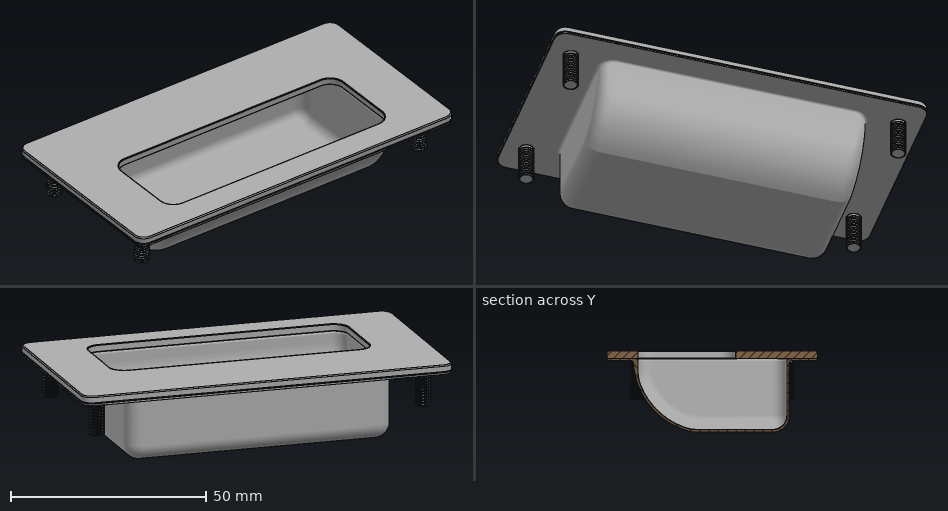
import cadquery as cq
import math

PLATE_WIDTH = 54
PLATE_LENGTH = 100
PLATE_THICKNESS = 2
PLATE_CORNER_RADIUS = 3
PLATE_EDGE_CHAMFER = 0.3

WINDOW_LEFT = -6
WINDOW_RIGHT = 19
WINDOW_LENGTH = 70
WINDOW_CORNER_RADIUS = 4
WINDOW_CHAMFER = 0.2

STUD_DIAMETER = 4
STUD_LENGTH = 10
STUD_X = 19
STUD_Y = 44
THREAD_PITCH = 0.8
THREAD_DEPTH = 0.3
THREAD_CREST_FLAT = THREAD_PITCH / 4
THREAD_ROOT_FLAT = THREAD_PITCH / 4

OVERALL_HEIGHT = 20.8
FLANGE_THICKNESS = 0.5
WALL_THICKNESS = 0.7
TRAY_LEFT = -19.8
TRAY_LENGTH = 71.6
TRAY_EDGE_RADIUS = 4
SCOOP_X = 1
SCOOP_RADIUS = 19.3
RIM_OUTER_RADIUS = 0.7

HOLLOW_RIGHT = 19
HOLLOW_LENGTH = 70
HOLLOW_EDGE_RADIUS = 3.5
SCOOP_BLEND_RADIUS = 10
RIM_INNER_RADIUS = 0.7

PLATE_BOTTOM = -PLATE_THICKNESS
FLANGE_BOTTOM = PLATE_BOTTOM - FLANGE_THICKNESS
TRAY_BOTTOM = -OVERALL_HEIGHT
SCOOP_Z = PLATE_BOTTOM

STUD_POSITIONS = [(x, y) for x in (-STUD_X, STUD_X) for y in (-STUD_Y, STUD_Y)]


def rounded_slab(bottom, thickness):
    """Slab with the outline of the cover plate."""
    return (
        cq.Workplane("XY", origin=(0, 0, bottom))
        .rect(PLATE_WIDTH, PLATE_LENGTH)
        .extrude(thickness)
        .edges("|Z")
        .fillet(PLATE_CORNER_RADIUS)
    )


def make_stud():
    """Stud with a ring thread of equal flat-topped ridges, its free end at z = 0."""
    crest_radius = STUD_DIAMETER / 2
    root_radius = crest_radius - THREAD_DEPTH
    outline = [(0, 0), (root_radius, 0)]
    for ridge in range(round(STUD_LENGTH / THREAD_PITCH)):
        start = ridge * THREAD_PITCH
        middle = start + THREAD_PITCH / 2
        outline += [
            (root_radius, start + THREAD_ROOT_FLAT / 2),
            (crest_radius, middle - THREAD_CREST_FLAT / 2),
            (crest_radius, middle + THREAD_CREST_FLAT / 2),
            (root_radius, start + THREAD_PITCH - THREAD_ROOT_FLAT / 2),
        ]
    stud_top = STUD_LENGTH + FLANGE_THICKNESS
    outline += [(root_radius, stud_top), (0, stud_top)]
    return cq.Workplane("XZ").polyline(outline).close().revolve(360, (0, 0), (0, 1))


def make_plate():
    """Cover plate with its chamfered window and the four studs that are part of it."""
    window = (
        cq.Workplane("XY", origin=((WINDOW_LEFT + WINDOW_RIGHT) / 2, 0, PLATE_BOTTOM))
        .rect(WINDOW_RIGHT - WINDOW_LEFT, WINDOW_LENGTH)
        .extrude(PLATE_THICKNESS)
        .edges("|Z")
        .fillet(WINDOW_CORNER_RADIUS)
    )
    plate = rounded_slab(PLATE_BOTTOM, PLATE_THICKNESS)
    plate = plate.faces("<Z or >Z").edges().chamfer(PLATE_EDGE_CHAMFER)
    plate = plate.cut(window)
    for side in (">Z", "<Z"):
        plate = plate.faces(side).wires(cq.selectors.LengthNthSelector(0)).chamfer(WINDOW_CHAMFER)
    stud = make_stud()
    for x, y in STUD_POSITIONS:
        plate = plate.union(stud.translate((x, y, FLANGE_BOTTOM - STUD_LENGTH)))
    return plate


def tray_outside():
    """Outside of the bowl: a box with rounded edges, cut off along one side by the round scoop."""
    box_right = SCOOP_X + 2 * SCOOP_RADIUS
    box = (
        cq.Workplane("XY", origin=((TRAY_LEFT + box_right) / 2, 0, TRAY_BOTTOM))
        .rect(box_right - TRAY_LEFT, TRAY_LENGTH)
        .extrude(OVERALL_HEIGHT - PLATE_THICKNESS)
        .edges("|Z or <Z")
        .fillet(TRAY_EDGE_RADIUS)
    )
    scoop = (
        cq.Workplane("XZ", origin=(SCOOP_X, TRAY_LENGTH / 2, SCOOP_Z))
        .moveTo(-2 * SCOOP_RADIUS, 0)
        .lineTo(-2 * SCOOP_RADIUS, -SCOOP_RADIUS)
        .lineTo(0, -SCOOP_RADIUS)
        .radiusArc((SCOOP_RADIUS, 0), -SCOOP_RADIUS)
        .close()
        .extrude(TRAY_LENGTH)
        .faces("<Y or >Y")
        .edges("not (>Z or <X)")
        .fillet(TRAY_EDGE_RADIUS)
    )
    return box.intersect(scoop)


def tray_inside():
    """Hollow of the bowl, with the scoop blended into the floor and into the upright wall."""
    left = TRAY_LEFT + WALL_THICKNESS
    floor = TRAY_BOTTOM + WALL_THICKNESS
    radius = SCOOP_RADIUS - WALL_THICKNESS
    floor_end = SCOOP_X + math.sqrt(radius**2 - (SCOOP_Z - floor) ** 2)
    wall_end = SCOOP_Z - math.sqrt(radius**2 - (HOLLOW_RIGHT - SCOOP_X) ** 2)
    hollow = (
        cq.Workplane("XZ", origin=(0, HOLLOW_LENGTH / 2, 0))
        .moveTo(left, PLATE_BOTTOM)
        .lineTo(left, floor)
        .lineTo(floor_end, floor)
        .radiusArc((HOLLOW_RIGHT, wall_end), -radius)
        .lineTo(HOLLOW_RIGHT, PLATE_BOTTOM)
        .close()
        .extrude(HOLLOW_LENGTH)
    )
    for x, z in ((floor_end, floor), (HOLLOW_RIGHT, wall_end)):
        crease = cq.selectors.NearestToPointSelector((x, 0, z))
        hollow = hollow.edges(crease).fillet(SCOOP_BLEND_RADIUS)
    end_edges = hollow.faces("<Y or >Y").edges("not >Z")
    floor_edge = hollow.faces("<X").edges("<Z")
    return end_edges.add(floor_edge).fillet(HOLLOW_EDGE_RADIUS)


def make_tray():
    """Tray: a thin flange with the bowl hanging from it, rounded at the rim, with holes for the studs."""
    flange = rounded_slab(FLANGE_BOTTOM, FLANGE_THICKNESS)
    tray = flange.union(tray_outside())
    tray = tray.faces(cq.selectors.NearestToPointSelector((0, 0, FLANGE_BOTTOM)))
    tray = tray.wires(cq.selectors.LengthNthSelector(0)).fillet(RIM_OUTER_RADIUS)
    tray = tray.cut(tray_inside())
    tray = tray.faces(">Z").wires(cq.selectors.LengthNthSelector(0)).fillet(RIM_INNER_RADIUS)
    stud_holes = (
        cq.Workplane("XY", origin=(0, 0, FLANGE_BOTTOM))
        .pushPoints(STUD_POSITIONS)
        .circle(STUD_DIAMETER / 2)
        .extrude(FLANGE_THICKNESS)
    )
    return tray.cut(stud_holes)


plate = make_plate()
tray = make_tray()
result = cq.Compound.makeCompound([plate.val(), tray.val()])